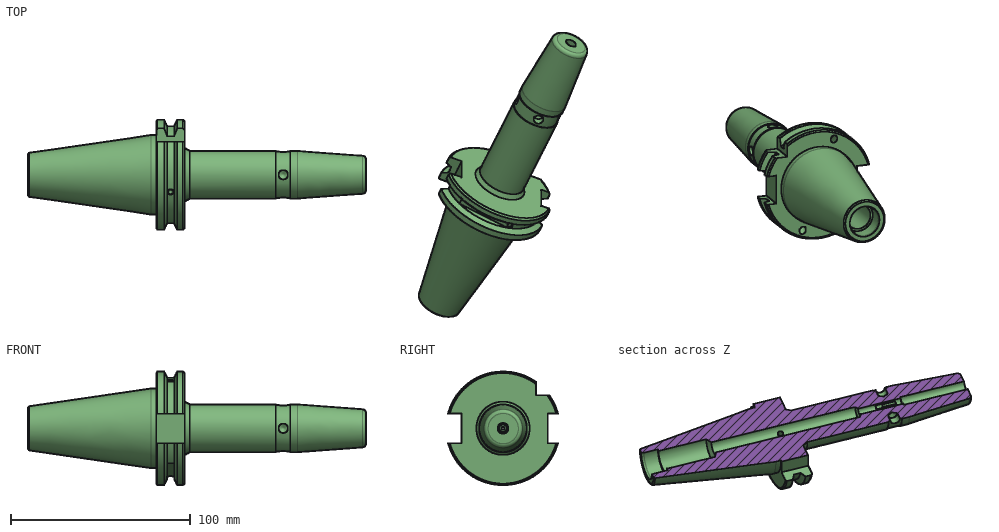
import cadquery as cq
import math

LENGTH = 188.4

TAPER_SLOPE = 7 / 24 / 2
GAUGE_X = 68.4
GAUGE_RADIUS = 22.2
TAPER_END_RADIUS = GAUGE_RADIUS - GAUGE_X * TAPER_SLOPE
TAPER_CHAMFER = 0.8

FLANGE_START_X = 71.5
FLANGE_END_X = 87.5
FLANGE_DIAMETER = 63.5
FLANGE_RADIUS = FLANGE_DIAMETER / 2
FRONT_CHAMFER_LENGTH = 0.5
BACK_CHAMFER_LENGTH = 1.1
FLANGE_CHAMFER_DEPTH = 1.0
GROOVE_X = 79.5
GROOVE_RADIUS = 28.3
GROOVE_BOTTOM_WIDTH = 3.8
GROOVE_TOP_WIDTH = 7.3

SLOT_WIDTH = 16.4
SLOT_FLOOR_PLUS_Y = 25.0
SLOT_FLOOR_MINUS_Y = 23.2
NOTCH_CORNER = 18.5
FLAT_DISTANCE = 24.0
FLAT_ANGLE = 14.0

NOSE_RADIUS = 13.4
NECK_RADIUS = 14.9
NECK_END_X = 90.2
BAND_START_X = 138.1
BAND_END_X = 146.0
BAND_RADIUS = 13.0
NOSE_TAPER_START_X = 150.2
TIP_RADIUS = 10.5
TIP_ROUNDING = 2.3

BALANCE_HOLE_X = 142.2
BALANCE_HOLE_RADIUS = 2.6
BALANCE_HOLE_DEPTH = 4.7
BALANCE_HOLE_COUNT = 4

DRILL_HALF_ANGLE = math.radians(59)
MOUTH_RADIUS = 8.5
MOUTH_CHAMFER_DEPTH = 0.4
MOUTH_CHAMFER_LENGTH = 1.3
MOUTH_DEPTH = 9.6
THREAD_RADIUS = 7.2
THREAD_DEPTH = 37.7
PASSAGE_RADIUS = 4.0
PASSAGE_END_X = 124.3
SCREW_RADIUS = 2.0
CLAMP_RADIUS = 3.0
CLAMP_START_X = 150.7

SCREW_END_X = 147.0
SCREW_LENGTH = 11.3
SOCKET_RADIUS = 1.3
SOCKET_DEPTH = 3.8
SCREW_HOLE_RADIUS = 0.8

COOLANT_ANGLES = (20.0, 200.0)
COOLANT_RADIUS = 1.9
COOLANT_MOUTH_DISTANCE = 27.3
COOLANT_TILT = math.radians(30)
PLUG_RADIUS = 1.5
PLUG_TOP = 27.3
PLUG_BOTTOM = 25.6


def turned(points):
    """Solid of revolution about X from (x, radius) points, closed along the axis."""
    start, end = points[0][0], points[-1][0]
    outline = [(start, 0), *points, (end, 0)]
    return cq.Workplane("XZ").polyline(outline).close().revolve(360, (0, 0, 0), (1, 0, 0))


def rod(radius, start, direction, length):
    """Cylinder from a start point along a direction."""
    return cq.Workplane(
        cq.Solid.makeCylinder(radius, length, cq.Vector(*start), cq.Vector(*direction))
    )


def taper_shank():
    return turned([
        (0, TAPER_END_RADIUS - TAPER_CHAMFER),
        (TAPER_CHAMFER, TAPER_END_RADIUS + TAPER_SLOPE * TAPER_CHAMFER),
        (GAUGE_X, GAUGE_RADIUS),
        (FLANGE_START_X, GAUGE_RADIUS),
    ])


def flange_disc():
    chamfer_radius = FLANGE_RADIUS - FLANGE_CHAMFER_DEPTH
    return turned([
        (FLANGE_START_X, chamfer_radius),
        (FLANGE_START_X + FRONT_CHAMFER_LENGTH, FLANGE_RADIUS),
        (GROOVE_X - GROOVE_TOP_WIDTH / 2, FLANGE_RADIUS),
        (GROOVE_X - GROOVE_BOTTOM_WIDTH / 2, GROOVE_RADIUS),
        (GROOVE_X + GROOVE_BOTTOM_WIDTH / 2, GROOVE_RADIUS),
        (GROOVE_X + GROOVE_TOP_WIDTH / 2, FLANGE_RADIUS),
        (FLANGE_END_X - BACK_CHAMFER_LENGTH, FLANGE_RADIUS),
        (FLANGE_END_X, chamfer_radius),
    ])


def flange_box(y_min, y_max, z_min, z_max):
    """Box as wide in X as the flange, used to cut it."""
    width = FLANGE_END_X - FLANGE_START_X
    corner = cq.Vector(FLANGE_START_X, y_min, z_min)
    return cq.Workplane(cq.Solid.makeBox(width, y_max - y_min, z_max - z_min, corner))


def balancing_flat():
    """Block that cuts a flat across the floor of the groove."""
    block = cq.Workplane("XY").box(
        GROOVE_BOTTOM_WIDTH, 2 * GROOVE_RADIUS, FLANGE_RADIUS, centered=(True, True, False)
    )
    block = block.translate((GROOVE_X, 0, FLAT_DISTANCE))
    return block.rotate((0, 0, 0), (1, 0, 0), 180 - FLAT_ANGLE)


def flange():
    half_slot = SLOT_WIDTH / 2
    reach = FLANGE_RADIUS
    return (
        flange_disc()
        .cut(flange_box(SLOT_FLOOR_PLUS_Y, reach, -half_slot, half_slot))
        .cut(flange_box(-reach, -SLOT_FLOOR_MINUS_Y, -half_slot, half_slot))
        .cut(flange_box(NOTCH_CORNER, reach, NOTCH_CORNER, reach))
        .cut(balancing_flat())
    )


def nose():
    body = turned([
        (FLANGE_END_X, NECK_RADIUS),
        (NECK_END_X, NOSE_RADIUS),
        (BAND_START_X, NOSE_RADIUS),
        (BAND_START_X, BAND_RADIUS),
        (BAND_END_X, BAND_RADIUS),
        (BAND_END_X, NOSE_RADIUS),
        (NOSE_TAPER_START_X, NOSE_RADIUS),
        (LENGTH, TIP_RADIUS),
    ])
    return body.faces(">X").edges().fillet(TIP_ROUNDING)


def balance_hole():
    """Drilled hole with a conical end, pointing inward from +Z."""
    floor = BAND_RADIUS - BALANCE_HOLE_DEPTH
    tip = floor - BALANCE_HOLE_RADIUS / math.tan(DRILL_HALF_ANGLE)
    outline = [
        (0, tip),
        (BALANCE_HOLE_RADIUS, floor),
        (BALANCE_HOLE_RADIUS, NOSE_RADIUS),
        (0, NOSE_RADIUS),
    ]
    drill = cq.Workplane("XZ").polyline(outline).close().revolve(360, (0, 0, 0), (0, 1, 0))
    return drill.translate((BALANCE_HOLE_X, 0, 0))


def central_bore():
    thread_cone = (THREAD_RADIUS - PASSAGE_RADIUS) / math.tan(DRILL_HALF_ANGLE)
    passage_cone = (PASSAGE_RADIUS - SCREW_RADIUS) / math.tan(DRILL_HALF_ANGLE)
    return turned([
        (0, MOUTH_RADIUS + MOUTH_CHAMFER_DEPTH),
        (MOUTH_CHAMFER_LENGTH, MOUTH_RADIUS),
        (MOUTH_DEPTH, MOUTH_RADIUS),
        (MOUTH_DEPTH, THREAD_RADIUS),
        (THREAD_DEPTH, THREAD_RADIUS),
        (THREAD_DEPTH + thread_cone, PASSAGE_RADIUS),
        (PASSAGE_END_X, PASSAGE_RADIUS),
        (PASSAGE_END_X + passage_cone, SCREW_RADIUS),
        (CLAMP_START_X, SCREW_RADIUS),
        (CLAMP_START_X, CLAMP_RADIUS),
        (LENGTH, CLAMP_RADIUS),
    ])


def coolant_channel():
    """Radial hole from the groove to the bore, met by a tilted hole from the flange face."""
    radial = rod(PLUG_RADIUS, (GROOVE_X, 0, 0), (0, 0, 1), FLANGE_RADIUS)
    run = GROOVE_X - FLANGE_START_X
    direction = (math.cos(COOLANT_TILT), 0, -math.sin(COOLANT_TILT))
    start_distance = COOLANT_MOUTH_DISTANCE + run * math.tan(COOLANT_TILT)
    start = (FLANGE_START_X - run, 0, start_distance)
    tilted = rod(COOLANT_RADIUS, start, direction, 2 * run / math.cos(COOLANT_TILT))
    return radial.union(tilted)


def about_axis(shape, angle):
    return shape.rotate((0, 0, 0), (1, 0, 0), angle)


def holder():
    body = taper_shank().union(flange()).union(nose())
    body = body.cut(central_bore())
    for index in range(BALANCE_HOLE_COUNT):
        body = body.cut(about_axis(balance_hole(), index * 360 / BALANCE_HOLE_COUNT))
    for angle in COOLANT_ANGLES:
        body = body.cut(about_axis(coolant_channel(), angle))
    return body


def stop_screw():
    start = SCREW_END_X - SCREW_LENGTH
    along_x = (1, 0, 0)
    blank = rod(SCREW_RADIUS, (start, 0, 0), along_x, SCREW_LENGTH)
    socket = rod(SOCKET_RADIUS, (start, 0, 0), along_x, SOCKET_DEPTH)
    through_hole = rod(SCREW_HOLE_RADIUS, (start, 0, 0), along_x, SCREW_LENGTH)
    return blank.cut(socket).cut(through_hole)


def coolant_plug(angle):
    """Short plug with a drill-point hollow in its outer end."""
    hollow_tip = PLUG_TOP - PLUG_RADIUS / math.tan(DRILL_HALF_ANGLE)
    outline = [(0, PLUG_BOTTOM), (PLUG_RADIUS, PLUG_BOTTOM), (PLUG_RADIUS, PLUG_TOP), (0, hollow_tip)]
    plug = cq.Workplane("XZ").polyline(outline).close().revolve(360, (0, 0, 0), (0, 1, 0))
    return about_axis(plug.translate((GROOVE_X, 0, 0)), angle)


plugs = [coolant_plug(angle) for angle in COOLANT_ANGLES]
result = cq.Compound.makeCompound([
    holder().val(),
    stop_screw().val(),
    *[plug.val() for plug in plugs],
])